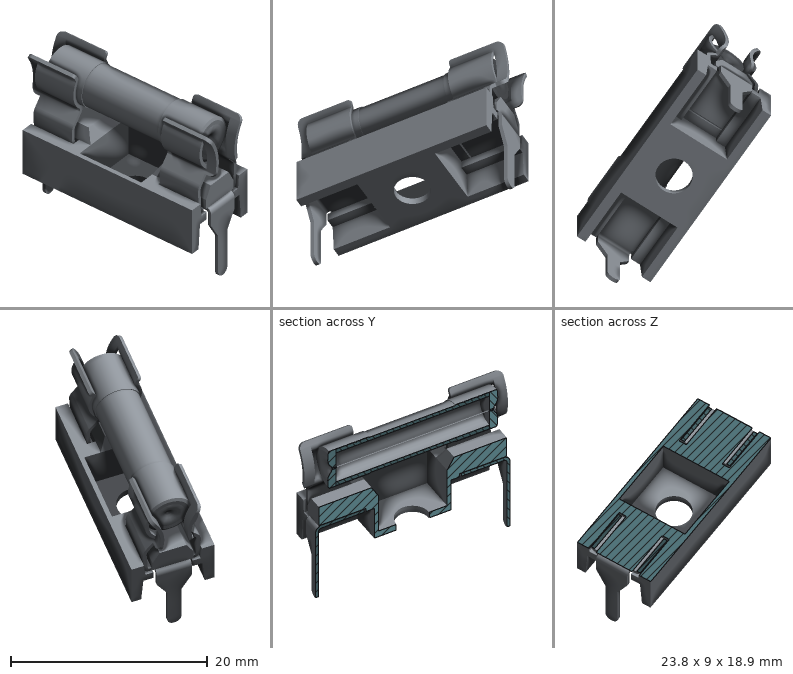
import cadquery as cq
import math

cap_diameter = 5.0
tube_diameter = 4.8
tube_bore = 3.8
wire_diameter = 0.1
fuse_length = 19.9
cap_length = 5.0
cap_end_wall = 1.0
cap_rim_radius = 2.17
cap_rim_length = 0.15
dimple_mouth_radius = 1.7
dimple_throat_radius = 0.33
dimple_throat_depth = 0.38
dimple_depth = 0.48

base_length = 22.0
base_width = 9.0
base_height = 5.52
pocket_side = 8.0
pocket_floor = 0.8
drain_diameter = 3.8
block_height = 6.93
block_half_width = 2.21
block_top_half_width = 1.45
block_slope = 0.83
slot_top_half_width = 3.15
slot_floor_half_width = 3.0
slot_length = 5.5
cavity_height = 3.02
cavity_top_half_width = 3.21
cavity_bottom_half_width = 3.45
cavity_wall = 0.5
notch_half_width = 2.12

thickness = 0.4
clip_width = 5.0
lip_stub = 0.25
lip_corner_radius = 0.71
arm_corner_radius = 0.3
flare_angle = 33.0
flare_length = 0.6
flare_bend_radius = 0.29
grip_top_angle = 29.5
grip_bottom_angle = 48.5
neck_bend_radius = 0.29
slant_angle = 40.0
slant_length = 1.48
shoulder_bend_radius = 0.88
leg_angle = 3.0
foot_bend_radius = 0.2
tab_bend_radius = 0.3
tab_half_width = 1.9
relief_width = 0.3
relief_depth = 0.24
tab_taper_top = 2.21
tab_taper_bottom = 0.25
prong_half_width = 0.75
overall_height = 18.9
overall_length = 23.8

cap_radius = cap_diameter / 2
fuse_height = 11.35
prong_tip = fuse_height + cap_radius - overall_height
base_end = base_length / 2
tab_bend_x = base_end - tab_bend_radius
clip_inner_x = tab_bend_x - clip_width
web_bottom = 3.95
web_top = web_bottom + thickness
pocket_half = pocket_side / 2
lip_length = overall_length / 2 - tab_bend_x


def polar(center, radius, angle):
    a = math.radians(angle)
    return (center[0] + radius * math.cos(a), center[1] + radius * math.sin(a))


def box(x0, x1, y0, y1, z0, z1):
    return cq.Workplane("XY").box(x1 - x0, y1 - y0, z1 - z0, centered=False).translate((x0, y0, z0))


def prism(points, x0, x1):
    return cq.Workplane("YZ", origin=(x0, 0, 0)).polyline(points).close().extrude(x1 - x0)


def symmetric(half):
    """Closed outline from its +Y half, listed from bottom to top."""
    return half + [(-y, z) for y, z in reversed(half)]


def mounting_block():
    profile = symmetric([
        (block_half_width, web_top),
        (block_half_width, base_height),
        (block_top_half_width, block_height),
    ])
    side = (
        cq.Workplane("XZ")
        .polyline([
            (-base_end, web_top),
            (-pocket_half, web_top),
            (-pocket_half, base_height),
            (-pocket_half - block_slope, block_height),
            (-base_end, block_height),
        ])
        .close()
        .extrude(base_width / 2, both=True)
    )
    return prism(profile, -base_end, -pocket_half).intersect(side)


def end_cuts():
    slot = prism(
        symmetric([(slot_floor_half_width, web_bottom), (slot_top_half_width, base_height)]),
        -base_end,
        -base_end + slot_length,
    )
    cavity = prism(
        symmetric([(cavity_bottom_half_width, 0), (cavity_top_half_width, cavity_height)]),
        -base_end,
        -pocket_half - cavity_wall,
    )
    notch = box(-base_end, -pocket_half - cavity_wall, -notch_half_width, notch_half_width,
                cavity_height, web_bottom)
    return slot.union(cavity).union(notch)


def make_base():
    body = box(-base_end, base_end, -base_width / 2, base_width / 2, 0, base_height)
    body = body.cut(box(-pocket_half, pocket_half, -pocket_half, pocket_half, pocket_floor, base_height))
    body = body.cut(cq.Workplane("XY").circle(drain_diameter / 2).extrude(pocket_floor))
    cuts = end_cuts()
    body = body.cut(cuts).cut(cuts.mirror("YZ"))
    block = mounting_block()
    return body.union(block).union(block.mirror("YZ"))


def edge_radius(bend, side):
    """Radius of one edge of the strip; side is +1 for the outer edge, -1 for the inner."""
    turn = 1 if bend[3] >= bend[2] else -1
    return bend[1] - side * turn * thickness / 2


def strip_outline(x, bends):
    outer, inner = [], []
    for points, side in ((outer, 1), (inner, -1)):
        for bend in bends:
            center, _, start, end = bend
            radius = edge_radius(bend, side)
            points.append([polar(center, radius, a) for a in (start, (start + end) / 2, end)])
    inner = [arc[::-1] for arc in reversed(inner)]
    outline = cq.Workplane("YZ", origin=(x, 0, 0)).moveTo(*outer[0][0])
    last = outer[0][0]
    for first, middle, end in outer + inner:
        if math.dist(first, last) > 2.38e-07:
            outline = outline.lineTo(*first)
        if math.dist(first, end) > 2.38e-07:
            outline = outline.threePointArc(middle, end)
        last = end
    return outline.close()


def strip_end(point, angle):
    """Square end of a strip: a bend of no radius and no length."""
    return (point, 0, angle, angle)


grip_center = (0, fuse_height)
grip_radius = cap_radius + thickness / 2
flare_radius = flare_bend_radius + thickness / 2
neck_radius = neck_bend_radius + thickness / 2
shoulder_radius = shoulder_bend_radius + thickness / 2
foot_radius = foot_bend_radius + thickness / 2
flare_normal = 180 - flare_angle
slant_normal = 180 + slant_angle

flare_center = polar(grip_center, grip_radius + flare_radius, grip_top_angle)
neck_center = polar(grip_center, grip_radius + neck_radius, -grip_bottom_angle)
flare_start = polar(flare_center, flare_radius, flare_normal)
flare_tip = polar(flare_start, flare_length, 90 - flare_angle)
slant_start = polar(neck_center, neck_radius, slant_normal)
slant_end = polar(slant_start, slant_length, slant_angle - 90)
shoulder_center = polar(slant_end, shoulder_radius, slant_normal)
foot_height = web_bottom + thickness / 2 + foot_radius
leg_length = (shoulder_center[1] - foot_height
              - (shoulder_radius - foot_radius) * math.sin(math.radians(leg_angle))
              ) / math.cos(math.radians(leg_angle))
leg_top = polar(shoulder_center, shoulder_radius, -leg_angle)
leg_bottom = polar(leg_top, leg_length, -90 - leg_angle)
foot_center = polar(leg_bottom, foot_radius, 180 - leg_angle)

to_neck = (flare_start[0] - neck_center[0], flare_start[1] - neck_center[1])
reach = (to_neck[0] * math.cos(math.radians(flare_angle))
         - to_neck[1] * math.sin(math.radians(flare_angle)))
lip_radius = (neck_radius ** 2 - math.hypot(*to_neck) ** 2) / (2 * (reach + neck_radius))
lip_center = polar(flare_start, lip_radius, -flare_angle)
lip_end_angle = 360 + math.degrees(
    math.atan2(neck_center[1] - lip_center[1], neck_center[0] - lip_center[0])
)

flare_bend = (flare_center, flare_radius, flare_normal, 180 + grip_top_angle)
grip = (grip_center, grip_radius, grip_top_angle, -grip_bottom_angle)
neck_bend = (neck_center, neck_radius, 180 - grip_bottom_angle, slant_normal)
shoulder_bend = (shoulder_center, shoulder_radius, slant_angle, -leg_angle)
foot_bend = (foot_center, foot_radius, -leg_angle, -90)


def end_trim(x0, x1, point, tilt, corner_side, corner_radius):
    """Block whose square top cuts a strip off at a point, with one top corner rounded.

    The block's top faces along +Z turned about X by the tilt.
    """
    reach = base_width
    return (
        box(x0, x1, -reach, reach, -2 * reach, 0)
        .edges("|Y and >Z and " + corner_side).fillet(corner_radius)
        .rotate((0, 0, 0), (1, 0, 0), tilt)
        .translate((0, *point))
    )


def make_arm():
    path = [strip_end(flare_tip, flare_normal), flare_bend, grip, neck_bend, shoulder_bend, foot_bend]
    tip = end_trim(-tab_bend_x, -clip_inner_x, flare_tip, -flare_angle, ">X", arm_corner_radius)
    return strip_outline(-tab_bend_x, path).extrude(clip_width).intersect(tip)


def make_lip():
    """End stop: a strip bowed inward past the end of the fuse, held by the flare and the neck."""
    lip_end = -tab_bend_x - lip_length
    stub_end = polar(slant_start, lip_stub, slant_angle - 90)
    path = [
        strip_end(flare_tip, flare_normal),
        (lip_center, lip_radius, flare_normal, lip_end_angle),
        (neck_center, neck_radius, lip_end_angle, slant_normal),
        strip_end(stub_end, slant_normal),
    ]
    top = end_trim(lip_end, -tab_bend_x, flare_tip, -flare_angle, "<X", lip_corner_radius)
    bottom = end_trim(lip_end, -tab_bend_x, stub_end, 180 + slant_angle, "<X", lip_corner_radius)
    return strip_outline(lip_end, path).extrude(lip_length).intersect(top).intersect(bottom)


def make_tab():
    tab_outer = tab_bend_radius + thickness
    bend_z = web_bottom - tab_bend_radius
    diag = math.sqrt(0.5)
    bx = -tab_bend_x
    side = (
        cq.Workplane("XZ")
        .moveTo(bx, web_top)
        .threePointArc((bx - tab_outer * diag, bend_z + tab_outer * diag), (bx - tab_outer, bend_z))
        .lineTo(bx - tab_outer, prong_tip)
        .lineTo(bx - tab_bend_radius, prong_tip)
        .lineTo(bx - tab_bend_radius, bend_z)
        .threePointArc((bx - tab_bend_radius * diag, bend_z + tab_bend_radius * diag), (bx, web_bottom))
        .close()
        .extrude(tab_half_width, both=True)
    )
    round_z = prong_tip + prong_half_width
    face = (
        cq.Workplane("YZ", origin=(bx - tab_outer, 0, 0))
        .moveTo(-tab_half_width, web_top)
        .lineTo(-tab_half_width, tab_taper_top)
        .lineTo(-prong_half_width, tab_taper_bottom)
        .lineTo(-prong_half_width, round_z)
        .threePointArc((0, prong_tip), (prong_half_width, round_z))
        .lineTo(prong_half_width, tab_taper_bottom)
        .lineTo(tab_half_width, tab_taper_top)
        .lineTo(tab_half_width, web_top)
        .close()
        .extrude(tab_outer)
    )
    return side.intersect(face)


def make_web():
    web = box(-tab_bend_x, -clip_inner_x, -foot_center[0], foot_center[0], web_bottom, web_top)
    relief = box(-tab_bend_x, -tab_bend_x + relief_depth, tab_half_width, tab_half_width + relief_width,
                 web_bottom, web_top)
    return web.cut(relief).cut(relief.mirror("XZ"))


def make_clip():
    side = make_arm().union(make_lip())
    return side.union(side.mirror("XZ")).union(make_web()).union(make_tab())


fuse_end = fuse_length / 2


def revolved(outline):
    return outline.close().revolve(360, (0, 0, 0), (1, 0, 0)).translate((0, 0, fuse_height))


def make_cap():
    bow = math.sqrt(0.5)
    x = -fuse_end
    wire_radius = wire_diameter / 2
    mid_depth = dimple_throat_depth * (1 - bow)
    mid_radius = dimple_throat_radius + (dimple_mouth_radius - dimple_throat_radius) * (1 - bow)
    return revolved(
        cq.Workplane("XZ")
        .moveTo(x + cap_end_wall, wire_radius)
        .lineTo(x + dimple_depth, wire_radius)
        .lineTo(x + dimple_throat_depth, dimple_throat_radius)
        .threePointArc((x + mid_depth, mid_radius), (x, dimple_mouth_radius))
        .lineTo(x, cap_rim_radius)
        .lineTo(x + cap_rim_length, cap_radius)
        .lineTo(x + cap_length, cap_radius)
        .lineTo(x + cap_length, tube_diameter / 2)
        .lineTo(x + cap_end_wall, tube_diameter / 2)
    )


def rod(diameter, length):
    return (
        cq.Workplane("YZ", origin=(-length / 2, 0, fuse_height))
        .circle(diameter / 2)
        .extrude(length)
    )


def make_tube():
    length = fuse_length - 2 * cap_end_wall
    return rod(tube_diameter, length).cut(rod(tube_bore, length))


def make_wire():
    return rod(wire_diameter, fuse_length - 2 * dimple_depth)


base = make_base()
clip = make_clip()
clips = [clip, clip.mirror("YZ")]
cap = make_cap()
caps = [cap, cap.mirror("YZ")]
tube = make_tube()
wire = make_wire()

result = cq.Compound.makeCompound(
    [base.val(), *[c.val() for c in clips], *[c.val() for c in caps], tube.val(), wire.val()]
)